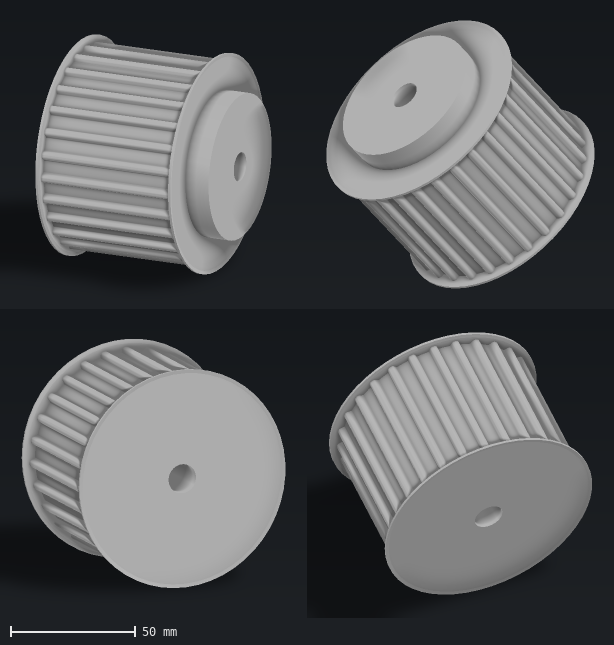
import cadquery as cq
import math

FLANGE_DIAMETER = 90
FLANGE_THICKNESS = 1.0
FLANGE_FLAT_DIAMETER = 87.0
LIP_OFFSET = 0.3
OVERALL_LENGTH = 70.0
HUB_DIAMETER = 60.0
HUB_LENGTH = 10.3
BORE_DIAMETER = 12.0

TOOTH_COUNT = 27
TIP_RADIUS = 42.1
TOOTH_DEPTH = 2.4
TIP_WIDTH = 2.4
GROOVE_ANGLE = 50
TIP_FILLET = 1.3
ROOT_FILLET = 0.45

ROOT_RADIUS = TIP_RADIUS - TOOTH_DEPTH
PITCH_ANGLE = 2 * math.pi / TOOTH_COUNT
FIRST_TOOTH_ANGLE = math.pi / 2

LEFT_FLANGE_X = LIP_OFFSET
RIGHT_FLANGE_END_X = OVERALL_LENGTH - HUB_LENGTH
TOOTH_START_X = LEFT_FLANGE_X + FLANGE_THICKNESS
TOOTH_END_X = RIGHT_FLANGE_END_X - FLANGE_THICKNESS


def polar(radius, angle):
    """Point in the YZ plane at an angle measured from +Y towards +Z."""
    return (radius * math.cos(angle), radius * math.sin(angle))


def distance_from_axis(edge):
    """Distance of an edge parallel to X from the pulley axis."""
    centre = edge.Center()
    return math.hypot(centre.y, centre.z)


def toothed_body():
    """Solid drum of straight-flanked teeth with rounded tips and roots."""
    half_tip = math.asin(TIP_WIDTH / 2 / TIP_RADIUS)
    tip_height = TIP_RADIUS * math.cos(half_tip)
    slope = math.radians(GROOVE_ANGLE) / 2 - PITCH_ANGLE / 2
    flank_offset = TIP_WIDTH / 2 * math.cos(slope) + tip_height * math.sin(slope)
    half_root = math.asin(flank_offset / ROOT_RADIUS) - slope

    start = polar(ROOT_RADIUS, FIRST_TOOTH_ANGLE - half_root)
    outline = cq.Workplane("YZ", origin=(TOOTH_START_X, 0, 0)).moveTo(*start)
    for i in range(TOOTH_COUNT):
        centre = FIRST_TOOTH_ANGLE + i * PITCH_ANGLE
        next_centre = centre + PITCH_ANGLE
        outline = (
            outline.lineTo(*polar(TIP_RADIUS, centre - half_tip))
            .threePointArc(polar(TIP_RADIUS, centre), polar(TIP_RADIUS, centre + half_tip))
            .lineTo(*polar(ROOT_RADIUS, centre + half_root))
            .threePointArc(
                polar(ROOT_RADIUS, centre + PITCH_ANGLE / 2),
                polar(ROOT_RADIUS, next_centre - half_root),
            )
        )
    body = outline.close().extrude(TOOTH_END_X - TOOTH_START_X)
    middle_radius = (TIP_RADIUS + ROOT_RADIUS) / 2
    root_edges = body.edges("|X").filter(lambda edge: distance_from_axis(edge) < middle_radius)
    body = root_edges.fillet(ROOT_FILLET)
    tip_edges = body.edges("|X").filter(lambda edge: distance_from_axis(edge) > middle_radius)
    return tip_edges.fillet(TIP_FILLET)


def flange(face_x, outward):
    """Thin disc whose rim is bent slightly along X, away from the teeth."""
    inner_x = face_x - outward * FLANGE_THICKNESS
    bend = outward * LIP_OFFSET
    return (
        cq.Workplane("XY")
        .moveTo(inner_x, 0)
        .lineTo(inner_x, FLANGE_FLAT_DIAMETER / 2)
        .lineTo(inner_x + bend, FLANGE_DIAMETER / 2)
        .lineTo(face_x + bend, FLANGE_DIAMETER / 2)
        .lineTo(face_x, FLANGE_FLAT_DIAMETER / 2)
        .lineTo(face_x, 0)
        .close()
        .revolve(360, (0, 0, 0), (1, 0, 0))
    )


def cylinder(diameter, start_x, end_x):
    """Round bar along the pulley axis."""
    return cq.Workplane("YZ", origin=(start_x, 0, 0)).circle(diameter / 2).extrude(end_x - start_x)


left_flange = flange(LEFT_FLANGE_X, -1)
right_flange = flange(RIGHT_FLANGE_END_X, 1)
hub = cylinder(HUB_DIAMETER, TOOTH_END_X, OVERALL_LENGTH)
bore = cylinder(BORE_DIAMETER, 0, OVERALL_LENGTH)

result = toothed_body().union(left_flange).union(right_flange).union(hub).cut(bore)